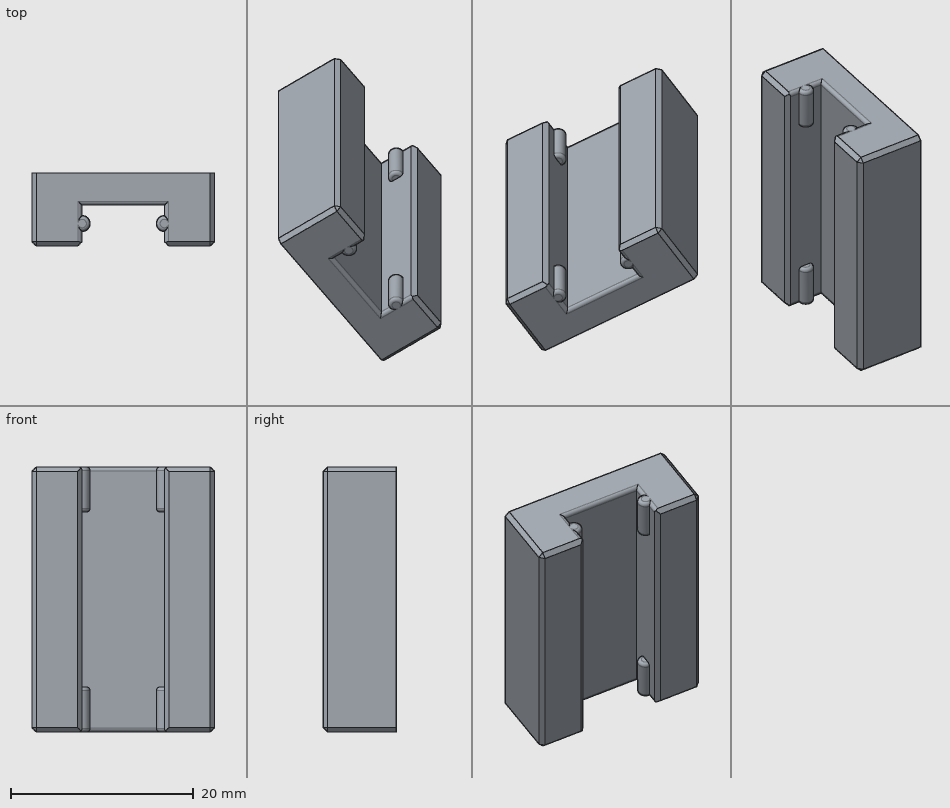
import cadquery as cq

width = 20.0
depth = 8.0
height = 29.0
edge_chamfer = 0.5

slot_width = 9.0
slot_depth = 4.47
slot_end_radius = 0.44

pin_radius = 0.87
pin_length = 4.93
pin_end_radius = 0.4
pin_setback = 2.46

front_y = -depth / 2
slot_floor_y = front_y + slot_depth
pin_y = front_y + pin_setback
selection_margin = 0.003


def make_block():
    """Slotted block, chamfered around its front and outer side faces but not its back face."""
    block = cq.Workplane("XY").box(width, depth, height)
    slot = cq.Workplane("XY").box(slot_width, slot_depth, height)
    block = block.cut(slot.translate((0, front_y + slot_depth / 2, 0)))
    chamfered_edges = block.faces("<Y or <X or >X").edges("not >Y")
    return block.newObject(chamfered_edges.vals()).chamfer(edge_chamfer)


def round_slot_ends(block):
    """Round the slot floor and walls where they meet the two end faces."""
    slot_box = cq.selectors.BoxSelector(
        (-slot_width / 2 - selection_margin, front_y, -height),
        (slot_width / 2 + selection_margin, slot_floor_y + selection_margin, height),
    )
    return block.faces("<Z or >Z").edges(slot_box).fillet(slot_end_radius)


def make_pin(x, base_z):
    """Vertical pin with both ends rounded over."""
    pin = cq.Workplane("XY").circle(pin_radius).extrude(pin_length)
    pin = pin.edges().fillet(pin_end_radius)
    return pin.translate((x, pin_y, base_z))


result = round_slot_ends(make_block())
for wall_x in (-slot_width / 2, slot_width / 2):
    for base_z in (-height / 2, height / 2 - pin_length):
        result = result.union(make_pin(wall_x, base_z))